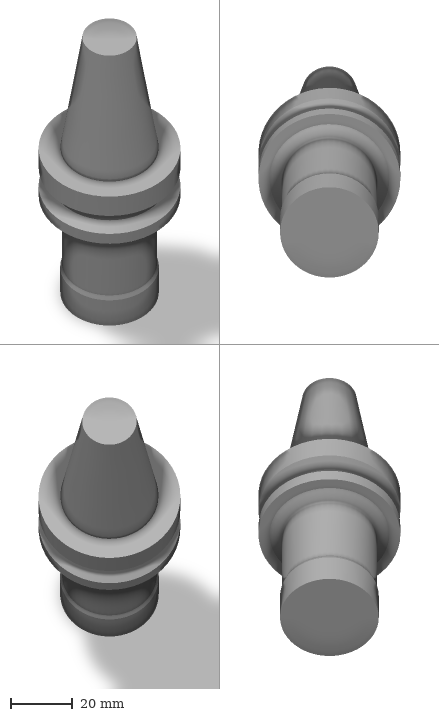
import cadquery as cq
import math


gauge_diameter = 31.75
taper_length = 48.4
taper_rate = 7 / 24
small_end_diameter = gauge_diameter - taper_rate * taper_length

flange_diameter = 46.0
flange_top_z = -1.0
flange_bottom_z = -22.0

groove_floor_diameter = 38.0
groove_center_z = -13.6
groove_mouth_width = 8.0
groove_wall_angle = 30.0

cone_top_diameter = 38.8
cone_angle = 30.0
cone_fillet_radius = 1.0

body_diameter = 30.8
collar_diameter = 32.0
nose_z = -65.0
collar_height = 11.2
collar_chamfer_angle = 20.0


def rise(large_diameter, small_diameter, angle_from_horizontal):
    """Height of a cone between two diameters."""
    radial_step = (large_diameter - small_diameter) / 2
    return radial_step * math.tan(math.radians(angle_from_horizontal))


def make_shank():
    """Taper with the short cylinder that links it to the flange."""
    radius = gauge_diameter / 2
    return (
        cq.Workplane("XZ")
        .moveTo(0, flange_top_z)
        .lineTo(radius, flange_top_z)
        .lineTo(radius, 0)
        .lineTo(small_end_diameter / 2, taper_length)
        .lineTo(0, taper_length)
        .close()
        .revolve(360, (0, 0), (0, 1))
    )


def make_flange():
    """Flange disc with the V groove around its rim."""
    rim = flange_diameter / 2
    floor = groove_floor_diameter / 2
    mouth_half = groove_mouth_width / 2
    floor_half = mouth_half - rise(flange_diameter, groove_floor_diameter, groove_wall_angle)
    return (
        cq.Workplane("XZ")
        .moveTo(0, flange_bottom_z)
        .lineTo(rim, flange_bottom_z)
        .lineTo(rim, groove_center_z - mouth_half)
        .lineTo(floor, groove_center_z - floor_half)
        .lineTo(floor, groove_center_z + floor_half)
        .lineTo(rim, groove_center_z + mouth_half)
        .lineTo(rim, flange_top_z)
        .lineTo(0, flange_top_z)
        .close()
        .revolve(360, (0, 0), (0, 1))
    )


def make_body():
    """Body under the flange, with the filleted cone above and the collar below."""
    radius = body_diameter / 2
    cone_bottom_z = flange_bottom_z - rise(cone_top_diameter, body_diameter, cone_angle)
    collar_top_z = nose_z + collar_height
    body_start_z = collar_top_z + rise(collar_diameter, body_diameter, 90 - collar_chamfer_angle)

    turn = math.radians(90 - cone_angle)
    tangent_length = cone_fillet_radius * math.tan(turn / 2)
    center_x = radius + cone_fillet_radius
    fillet_start_z = cone_bottom_z - tangent_length

    def fillet_point(angle):
        """Point on the fillet after turning by the angle from the body wall."""
        x = center_x - cone_fillet_radius * math.cos(angle)
        z = fillet_start_z + cone_fillet_radius * math.sin(angle)
        return x, z

    return (
        cq.Workplane("XZ")
        .moveTo(0, nose_z)
        .lineTo(collar_diameter / 2, nose_z)
        .lineTo(collar_diameter / 2, collar_top_z)
        .lineTo(radius, body_start_z)
        .lineTo(radius, fillet_start_z)
        .threePointArc(fillet_point(turn / 2), fillet_point(turn))
        .lineTo(cone_top_diameter / 2, flange_bottom_z)
        .lineTo(0, flange_bottom_z)
        .close()
        .revolve(360, (0, 0), (0, 1))
    )


result = make_shank().union(make_flange()).union(make_body())